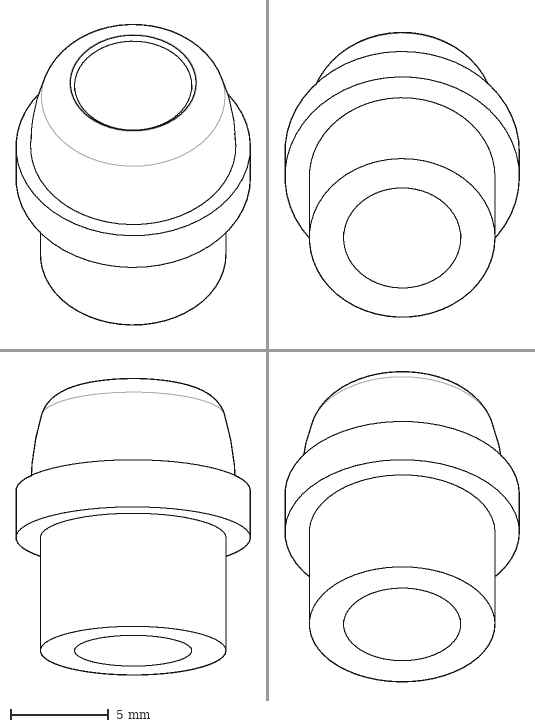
import cadquery as cq

total_height = 13.5
spigot_diameter = 9.5
spigot_height = 6.0
flange_diameter = 12.0
flange_height = 2.5
dome_base_diameter = 10.5
dome_side_height = 3.94
dome_shoulder_diameter = 9.4
crown_diameter = 6.51
bore_diameter = 6.0
bore_chamfer = 0.22

flange_top = spigot_height + flange_height
shoulder_level = flange_top + dome_side_height
spigot_radius = spigot_diameter / 2
flange_radius = flange_diameter / 2
dome_base_radius = dome_base_diameter / 2
dome_shoulder_radius = dome_shoulder_diameter / 2
crown_flat_radius = crown_diameter / 2
bore_radius = bore_diameter / 2


def end_tangent_radius(along, across):
    """Radius of an arc spanning these two distances that leaves one end along the first."""
    return (along**2 + across**2) / (2 * across)


dome_side_radius = end_tangent_radius(dome_side_height, dome_base_radius - dome_shoulder_radius)
crown_radius = end_tangent_radius(dome_shoulder_radius - crown_flat_radius, total_height - shoulder_level)


def turned_body():
    """Solid of revolution: spigot, flange and dome with a rounded shoulder."""
    profile = (
        cq.Workplane("XZ")
        .lineTo(spigot_radius, 0)
        .lineTo(spigot_radius, spigot_height)
        .lineTo(flange_radius, spigot_height)
        .lineTo(flange_radius, flange_top)
        .lineTo(dome_base_radius, flange_top)
        .radiusArc((dome_shoulder_radius, shoulder_level), -dome_side_radius)
        .radiusArc((crown_flat_radius, total_height), -crown_radius)
        .lineTo(0, total_height)
        .close()
    )
    return profile.revolve(360, (0, 0, 0), (0, 1, 0))


def chamfered_bore():
    """Through hole, widened by a conical chamfer at the crown."""
    profile = (
        cq.Workplane("XZ")
        .lineTo(bore_radius, 0)
        .lineTo(bore_radius, total_height - bore_chamfer)
        .lineTo(bore_radius + bore_chamfer, total_height)
        .lineTo(0, total_height)
        .close()
    )
    return profile.revolve(360, (0, 0, 0), (0, 1, 0))


result = turned_body().cut(chamfered_bore())